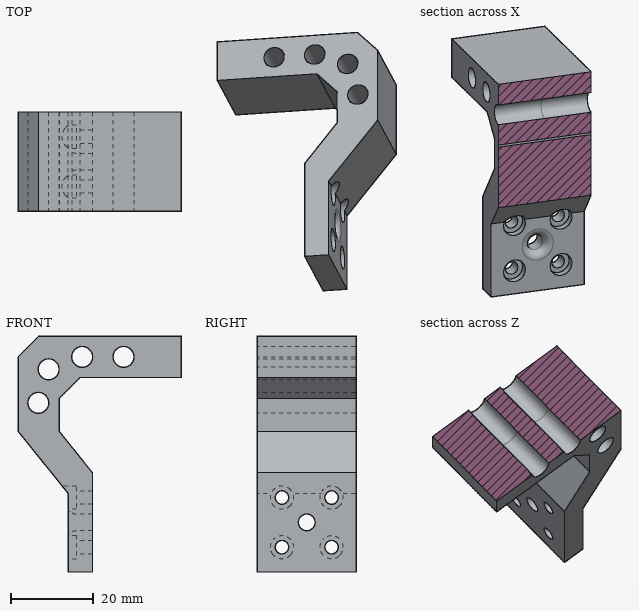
import cadquery as cq
import math

length = 39.5
width = 24.0
height = 57.0

arm_thickness = 10.0
corner_chamfer = 5.0
foot_thickness = 5.9
foot_back_x = 12.1
foot_back_height = 19.0
foot_front_height = 24.0
slope_top_height = 34.0

cross_hole_diameter = 5.0
arm_hole_z = height - arm_thickness / 2
cross_hole_centres = [
    (4.9, 40.9),
    (7.4, 49.0),
    (15.5, arm_hole_z),
    (25.5, arm_hole_z),
]

mount_centre_z = 12.0
mount_spacing = 12.0
screw_diameter = 3.2
counterbore_diameter = 5.6
counterbore_depth = 2.0
centre_hole_diameter = 4.0
centre_mouth_radius = 2.0


def make_body():
    """Bent bracket: horizontal arm, vertical back, sloped neck and thin foot."""
    foot_front_x = foot_back_x + foot_thickness
    arm_underside = height - arm_thickness
    profile = [
        (foot_back_x, 0),
        (foot_front_x, 0),
        (foot_front_x, foot_front_height),
        (arm_thickness, slope_top_height),
        (arm_thickness, arm_underside - corner_chamfer),
        (arm_thickness + corner_chamfer, arm_underside),
        (length, arm_underside),
        (length, height),
        (corner_chamfer, height),
        (0, height - corner_chamfer),
        (0, slope_top_height),
        (foot_back_x, foot_back_height),
    ]
    return cq.Workplane("XZ").polyline(profile).close().extrude(width / 2, both=True)


def make_cross_holes():
    """Cylinders running along Y through the arm and back."""
    return (
        cq.Workplane("XZ")
        .pushPoints(cross_hole_centres)
        .circle(cross_hole_diameter / 2)
        .extrude(width, both=True)
    )


def rod_along_x(diameter, start_x, end_x, y, z):
    """Cylinder parallel to X between two X positions."""
    return (
        cq.Workplane("YZ", origin=(start_x, y, z))
        .circle(diameter / 2)
        .extrude(end_x - start_x)
    )


def cut_screw_holes(body):
    """Four counterbored holes, the counterbores open toward the back."""
    half_spacing = mount_spacing / 2
    counterbore_floor_x = foot_back_x + counterbore_depth
    for side in (-1, 1):
        for level in (-1, 1):
            y = side * half_spacing
            z = mount_centre_z + level * half_spacing
            body = body.cut(rod_along_x(screw_diameter, 0, length, y, z))
            body = body.cut(rod_along_x(counterbore_diameter, 0, counterbore_floor_x, y, z))
    return body


def make_centre_hole():
    """Central hole whose mouth on the back of the foot is rounded outward."""
    hole_radius = centre_hole_diameter / 2
    mouth_outer_radius = hole_radius + centre_mouth_radius
    mouth_end_x = foot_back_x + centre_mouth_radius
    foot_front_x = foot_back_x + foot_thickness
    mouth_arc_offset = centre_mouth_radius * (1 - math.sqrt(0.5))
    return (
        cq.Workplane("XY", origin=(0, 0, mount_centre_z))
        .moveTo(foot_back_x, 0)
        .lineTo(foot_back_x, mouth_outer_radius)
        .threePointArc(
            (foot_back_x + mouth_arc_offset, hole_radius + mouth_arc_offset),
            (mouth_end_x, hole_radius),
        )
        .lineTo(foot_front_x, hole_radius)
        .lineTo(foot_front_x, 0)
        .close()
        .revolve(360, (0, 0, 0), (1, 0, 0))
    )


body = make_body().cut(make_cross_holes())
body = cut_screw_holes(body)
result = body.cut(make_centre_hole())